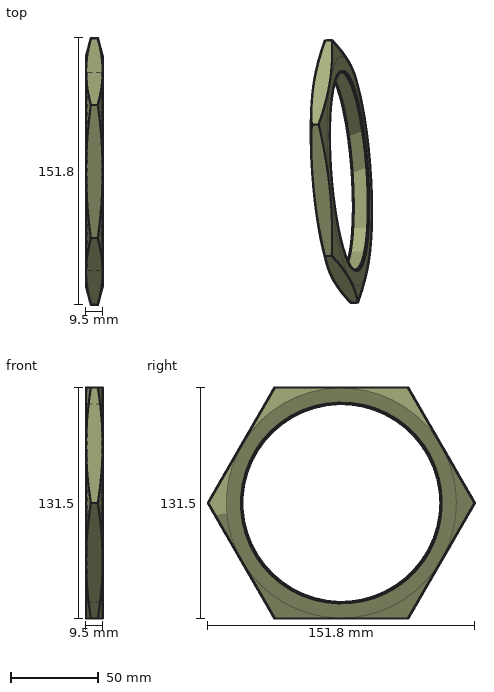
import cadquery as cq
import math

across_corners = 151.8
thickness = 9.5
bore_diameter = 112.7
bore_chamfer = 0.8
face_diameter = 130.9
corner_chamfer_angle = 15.0

corner_radius = across_corners / 2
face_radius = face_diameter / 2
half_thickness = thickness / 2
corner_drop = (corner_radius - face_radius) * math.tan(math.radians(corner_chamfer_angle))
rim_half_thickness = half_thickness - corner_drop


def hexagonal_blank():
    return cq.Workplane("YZ").polygon(6, across_corners).extrude(half_thickness, both=True)


def chamfer_envelope():
    """Solid of revolution about X whose cones cut the hexagon corners on both faces."""
    profile = [
        (-half_thickness, 0),
        (-half_thickness, face_radius),
        (-rim_half_thickness, corner_radius),
        (rim_half_thickness, corner_radius),
        (half_thickness, face_radius),
        (half_thickness, 0),
    ]
    return cq.Workplane("XY").polyline(profile).close().revolve(360, (0, 0, 0), (1, 0, 0))


def bore():
    """Through bore with a 45 degree lead-in at each end."""
    bore_radius = bore_diameter / 2
    mouth_radius = bore_radius + bore_chamfer
    profile = [
        (-half_thickness, 0),
        (-half_thickness, mouth_radius),
        (-half_thickness + bore_chamfer, bore_radius),
        (half_thickness - bore_chamfer, bore_radius),
        (half_thickness, mouth_radius),
        (half_thickness, 0),
    ]
    return cq.Workplane("XY").polyline(profile).close().revolve(360, (0, 0, 0), (1, 0, 0))


result = hexagonal_blank().intersect(chamfer_envelope()).cut(bore())